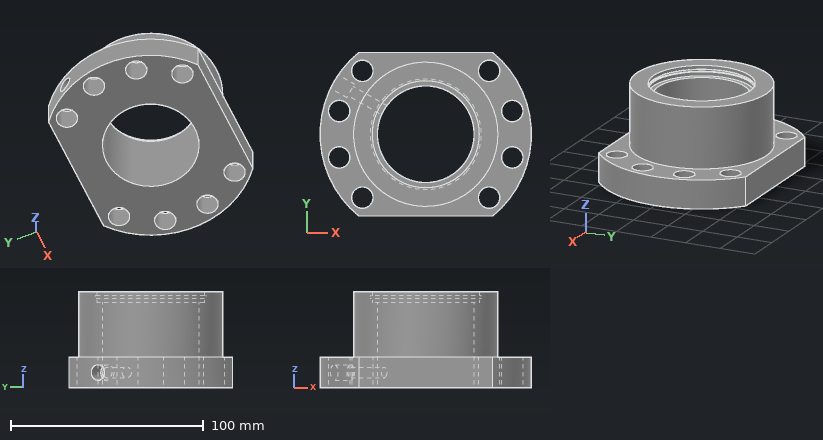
import cadquery as cq

flange_diameter = 109.6
flange_width = 85.0
flange_thickness = 16.0

total_height = 50.0
hub_diameter = 74.8
bore_diameter = 50.0
seat_diameter = 55.5
seat_depth = 5.7
ring_groove_diameter = 57.5
ring_groove_width = 1.3
ring_groove_top_depth = 2.2

bolt_hole_diameter = 11
bolt_circle_diameter = 92.9
bolt_angles = (15, 45, 135, 165, 195, 225, 315, 345)

port_angle = 150
port_diameter = 8.0
port_depth = 9.9
port_passage_diameter = 5.5


def upright_cylinder(diameter, bottom, height):
    return cq.Workplane("XY").workplane(offset=bottom).circle(diameter / 2).extrude(height)


def make_flange():
    disc = upright_cylinder(flange_diameter, 0, flange_thickness)
    flats = cq.Workplane("XY").box(
        flange_diameter, flange_width, flange_thickness, centered=(True, True, False)
    )
    return disc.intersect(flats)


def make_bore():
    through_bore = upright_cylinder(bore_diameter, 0, total_height)
    seat = upright_cylinder(seat_diameter, total_height - seat_depth, seat_depth)
    groove_bottom = total_height - ring_groove_top_depth - ring_groove_width
    ring_groove = upright_cylinder(ring_groove_diameter, groove_bottom, ring_groove_width)
    return through_bore.union(seat).union(ring_groove)


def make_bolt_holes():
    holes = cq.Workplane("XY")
    for angle in bolt_angles:
        hole = upright_cylinder(bolt_hole_diameter, 0, flange_thickness)
        hole = hole.translate((bolt_circle_diameter / 2, 0, 0))
        holes = holes.add(hole.rotate((0, 0, 0), (0, 0, 1), angle))
    return holes.combine()


def make_radial_port(angle):
    rim_radius = flange_diameter / 2
    axis_plane = cq.Workplane("YZ").center(0, flange_thickness / 2)
    passage = axis_plane.circle(port_passage_diameter / 2).extrude(rim_radius)
    mouth = axis_plane.workplane(offset=rim_radius - port_depth).circle(port_diameter / 2).extrude(port_depth)
    return passage.union(mouth).rotate((0, 0, 0), (0, 0, 1), angle)


hub = upright_cylinder(hub_diameter, 0, total_height)
body = make_flange().union(hub)
result = body.cut(make_bore()).cut(make_bolt_holes()).cut(make_radial_port(port_angle))